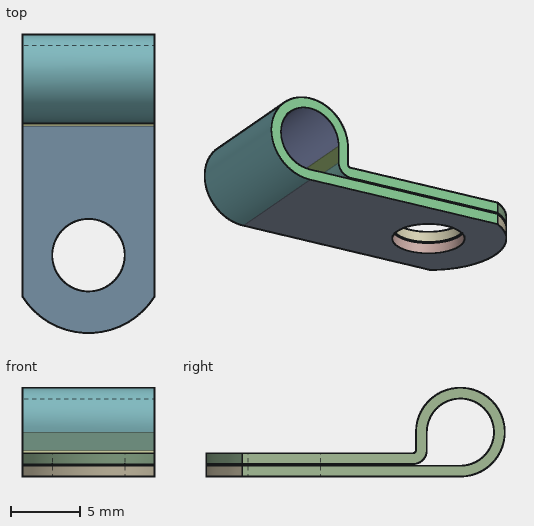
import cadquery as cq
import math

length = 21.5
width = 9.5
thickness = 0.8
loop_radius = 3.2
leaf_gap = 0.1
inner_bend_radius = 0.2
end_radius = 5.61
hole_diameter = 5.2

loop_y = length - loop_radius
loop_z = loop_radius
bore_radius = loop_radius - thickness
outer_bend_radius = inner_bend_radius + thickness
upper_bottom = thickness + leaf_gap
upper_top = upper_bottom + thickness
neck_outside_y = loop_y - loop_radius
neck_inside_y = loop_y - bore_radius
bend_y = neck_outside_y - inner_bend_radius
bend_z = upper_top + inner_bend_radius
hole_y = end_radius


def quarter_mid(center_y, center_z, radius, y_sign, z_sign):
    """Point halfway round a quarter arc, in the quadrant given by the signs."""
    offset = radius * math.sqrt(0.5)
    return (center_y + y_sign * offset, center_z + z_sign * offset)


def bent_strip():
    """Folded strip: lower leaf, loop, neck and upper leaf, extruded along X."""
    return (
        cq.Workplane("YZ")
        .moveTo(0, 0)
        .lineTo(loop_y, 0)
        .threePointArc(quarter_mid(loop_y, loop_z, loop_radius, 1, 1), (neck_outside_y, loop_z))
        .lineTo(neck_outside_y, bend_z)
        .threePointArc(quarter_mid(bend_y, bend_z, inner_bend_radius, 1, -1), (bend_y, upper_top))
        .lineTo(0, upper_top)
        .lineTo(0, upper_bottom)
        .lineTo(bend_y, upper_bottom)
        .threePointArc(quarter_mid(bend_y, bend_z, outer_bend_radius, 1, -1), (neck_inside_y, bend_z))
        .lineTo(neck_inside_y, loop_z)
        .threePointArc(quarter_mid(loop_y, loop_z, bore_radius, 1, 1), (loop_y, thickness))
        .lineTo(0, thickness)
        .close()
        .extrude(width / 2, both=True)
    )


def plan_outline():
    """Prism of the plan shape: straight sides and a rounded free end."""
    half_width = width / 2
    corner_y = hole_y - math.sqrt(end_radius**2 - half_width**2)
    return (
        cq.Workplane("XY")
        .moveTo(-half_width, corner_y)
        .threePointArc((0, 0), (half_width, corner_y))
        .lineTo(half_width, length)
        .lineTo(-half_width, length)
        .close()
        .extrude(2 * loop_radius)
    )


def screw_hole():
    """Cutter for the hole through both leaves."""
    return cq.Workplane("XY").center(0, hole_y).circle(hole_diameter / 2).extrude(upper_top)


result = bent_strip().intersect(plan_outline()).cut(screw_hole())